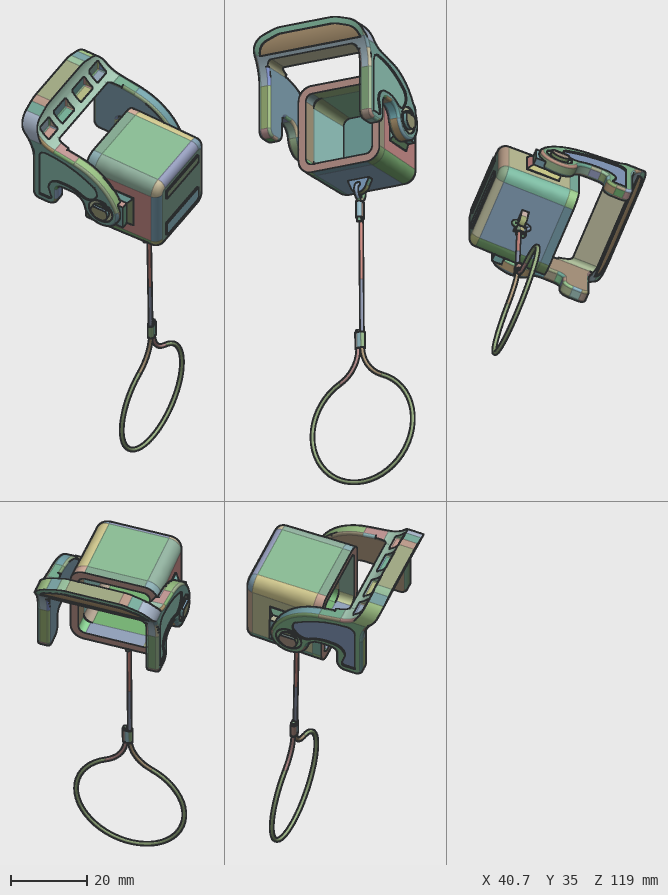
import cadquery as cq
import math


HOUSING_SIZE = 24.2
HOUSING_CENTER_Z = -0.4
HOUSING_FRONT_X = -7.4
HOUSING_BACK_X = 14.6
COLLAR_LENGTH = 2.6
HOUSING_CORNER_RADIUS = 3.8
HOUSING_DRAFT = 1.1
BACK_FILLET = 2.2
CAVITY_SIZE = 19.8
CAVITY_MOUTH_DEPTH = 4.3
CAVITY_MOUTH_CORNER_RADIUS = 1.9
CAVITY_CORNER_RADIUS = 2.4
CAVITY_DRAFT = 1.7
BACK_WALL = 2.2
WALL_OVERLAP = 1.0
PAD_WIDTH = 15.6
PAD_HEIGHT = 0.45
PAD_Z_RANGES = ((5.0, 7.6), (-8.6, -4.4))

LEVER_WIDTH = 33.5
LEG_THICKNESS = 3.4
LEVER_EDGE_FILLET = 0.7
LEVER_TOP_Z = 22.05
TIP_X = -25.6
TIP_BACK_X = -21.1
FIN_FRONT_CURVE = (-24.7, 18.5)
FIN_FRONT_TURN = (-23.35, 16.2)
FIN_ROOT_Z = 8.4
FIN_BACK_ROOT = (-14.5, 14.58)
LEVER_SHOULDER = (-8.3, 13.4)
LEVER_FRONT_X = -20.85
HOOK_BOTTOM_Z = -5.6
HOOK_FRONT_RADIUS = 2.1
HOOK_BACK_X = -13.5
HOOK_BACK_RADIUS = 2.7
NOTCH_TOP_Z = 2.2
NOTCH_RADIUS = 1.6
NOTCH_THROAT_X = -9.0
PIVOT_END_RADIUS = 5.3
PIVOT_END_ANGLE = math.radians(18)
FIN_FLAT_HALF_WIDTH = 7.4
FIN_SHOULDER_Y = 12.7
FIN_SHOULDER_SLOPE = math.radians(17)
FIN_SHOULDER_INNER_RADIUS = 8.2
FIN_BAR_BOTTOM_Z = -10.0
FIN_BAR_LENGTH = 40.0
FIN_BAR_LEAD = 1.0
BRIDGE_BACK_X = -12.0
TUNNEL_TOP_Z = 14.85
TUNNEL_CORNER_RADIUS = 1.5
SIDE_RECESS_DEPTH = 0.4
RECESS_FRONT_X = -18.9
RECESS_FRONT_TOP_Z = 10.4
RECESS_TOP_START = (-16.6, 12.7)
RECESS_NOSE_TOP = (-1.9, 7.6)
RECESS_NOSE_BOTTOM = (-2.0, 3.4)
RECESS_THROAT = (-5.6, 2.4)
RECESS_NOTCH_TOP = (-12.2, 3.9)
RECESS_NOTCH_SIDE = (-16.0, 0.4)
RECESS_HOOK_SIDE = (-15.1, -2.6)
RECESS_HOOK_X = -16.3
RECESS_BOTTOM_Z = -3.6
FIN_PANEL_DEPTH = 0.3
FIN_PANEL_MARGIN = 1.7
FIN_PANEL_BACK_X = -22.0
FIN_PANEL_BOTTOM_Z = 16.0
GRIP_POCKET_X_RANGE = (-20.1, -17.3)
GRIP_POCKET_FLOOR_Z = 15.3
GRIP_POCKET_Y_RANGES = ((1.5, 7.7), (9.8, 14.5))
GRIP_POCKET_CORNER_RADIUS = 0.4
GRIP_POCKET_FLOOR_FILLET = 0.3

PIN_RADIUS = 2.5
PIN_SPAN = 35.0
PIN_HEAD_FLAT_Z = 1.5
PIN_RING_RADIUS = 3.6
PIN_RING_DEPTH = 0.3
PIVOT_BOSS_FRONT_X = -1.75
PIVOT_BOSS_BACK_X = 7.3
PIVOT_BOSS_HEIGHT = 10.0
PIVOT_LUG_HALF_SPAN = 15.3

TETHER_LUG_X_RANGE = (3.1, 5.0)
TETHER_LUG_HALF_WIDTH = 3.15
TETHER_LUG_WAIST_HALF_WIDTH = 2.3
TETHER_LUG_WAIST_Z = -14.3
TETHER_LUG_BOTTOM_Z = -16.1
TETHER_TOP_X = 4.57
TETHER_TILT = 0.81
WIRE_DIAMETER = 1.1
STRAND_PITCH = 1.15
WIRE_JOINT_Z = -40.0
RING_RADIUS = 2.1
RING_CENTER_Z = -15.7
RING_NECK_RADIUS = 1.0
RING_STUB_Z = -24.1
LOOP_RADIUS = 15.0
LOOP_BOTTOM_Z = -96.92
LOOP_NECK_RADIUS = 9.8
LOOP_STUB_Z = -54.0
FERRULE_WALL = 0.27
FERRULE_LENGTH = 4.4
RING_FERRULE_TOP_Z = -18.6
LOOP_FERRULE_TOP_Z = -54.7

half_width = LEVER_WIDTH / 2
leg_inner_y = half_width - LEG_THICKNESS


def box_between(x_range, y_range, z_range):
    size = [high - low for low, high in (x_range, y_range, z_range)]
    corner = (x_range[0], y_range[0], z_range[0])
    return cq.Workplane("XY").box(*size, centered=False).translate(corner)


def rounded_square_bar(x, size, length, radius, draft):
    """Bar running in +X from x, centred on the housing axis and narrowing by the draft angle."""
    outline = cq.Sketch().rect(size, size).vertices().fillet(radius)
    plane = cq.Workplane("YZ", origin=(x, 0, HOUSING_CENTER_Z))
    return plane.placeSketch(outline).extrude(length, taper=draft)


def make_housing():
    """Drafted square cup with a straight collar, open towards -X."""
    body_x = HOUSING_FRONT_X + COLLAR_LENGTH
    body = rounded_square_bar(
        body_x, HOUSING_SIZE, HOUSING_BACK_X - body_x, HOUSING_CORNER_RADIUS, HOUSING_DRAFT
    )
    body = body.faces(">X").edges().fillet(BACK_FILLET)
    collar = rounded_square_bar(
        HOUSING_FRONT_X, HOUSING_SIZE, COLLAR_LENGTH, HOUSING_CORNER_RADIUS, 0
    )
    housing = body.union(collar)
    for z_range in PAD_Z_RANGES:
        x_range = (HOUSING_BACK_X - BACK_WALL, HOUSING_BACK_X + PAD_HEIGHT)
        housing = housing.union(box_between(x_range, (-PAD_WIDTH / 2, PAD_WIDTH / 2), z_range))
    mouth = rounded_square_bar(
        HOUSING_FRONT_X, CAVITY_SIZE, CAVITY_MOUTH_DEPTH, CAVITY_MOUTH_CORNER_RADIUS, 0
    )
    cavity_x = HOUSING_FRONT_X + CAVITY_MOUTH_DEPTH
    cavity_depth = HOUSING_BACK_X - BACK_WALL - cavity_x
    cavity = rounded_square_bar(
        cavity_x, CAVITY_SIZE, cavity_depth, CAVITY_CORNER_RADIUS, CAVITY_DRAFT
    )
    return housing.cut(mouth).cut(cavity)


def lever_profile():
    """Side outline of the lever: thumb fin, hook and pivot end, with tangent arcs."""
    throat_radius = (
        NOTCH_THROAT_X**2 + NOTCH_TOP_Z**2 - PIVOT_END_RADIUS**2
    ) / (2 * (PIVOT_END_RADIUS + NOTCH_TOP_Z))
    throat_center_z = NOTCH_TOP_Z - throat_radius
    throat_share = PIVOT_END_RADIUS / (PIVOT_END_RADIUS + throat_radius)
    throat_end = (NOTCH_THROAT_X * throat_share, throat_center_z * throat_share)
    pivot_end = (
        PIVOT_END_RADIUS * math.cos(PIVOT_END_ANGLE),
        PIVOT_END_RADIUS * math.sin(PIVOT_END_ANGLE),
    )
    return (
        cq.Workplane("XZ")
        .moveTo(LEVER_FRONT_X, FIN_ROOT_Z)
        .lineTo(LEVER_FRONT_X, HOOK_BOTTOM_Z + HOOK_FRONT_RADIUS)
        .tangentArcPoint((LEVER_FRONT_X + HOOK_FRONT_RADIUS, HOOK_BOTTOM_Z), relative=False)
        .lineTo(HOOK_BACK_X - HOOK_BACK_RADIUS, HOOK_BOTTOM_Z)
        .tangentArcPoint((HOOK_BACK_X, HOOK_BOTTOM_Z + HOOK_BACK_RADIUS), relative=False)
        .lineTo(HOOK_BACK_X, NOTCH_TOP_Z - NOTCH_RADIUS)
        .tangentArcPoint((HOOK_BACK_X + NOTCH_RADIUS, NOTCH_TOP_Z), relative=False)
        .lineTo(NOTCH_THROAT_X, NOTCH_TOP_Z)
        .tangentArcPoint(throat_end, relative=False)
        .threePointArc((0, -PIVOT_END_RADIUS), pivot_end)
        .tangentArcPoint(LEVER_SHOULDER, relative=False)
        .lineTo(*FIN_BACK_ROOT)
        .tangentArcPoint((TIP_BACK_X, LEVER_TOP_Z), relative=False)
        .lineTo(TIP_X, LEVER_TOP_Z)
        .threePointArc(FIN_FRONT_CURVE, FIN_FRONT_TURN)
        .tangentArcPoint((LEVER_FRONT_X, FIN_ROOT_Z), relative=False)
        .close()
    )


def fin_bar(inset):
    """Bar along X with the lever outline seen end-on: a flat top, sloped shoulders and round sides."""
    top_drop = FIN_SHOULDER_INNER_RADIUS * (1 - math.cos(FIN_SHOULDER_SLOPE))
    slope_y = FIN_FLAT_HALF_WIDTH + FIN_SHOULDER_INNER_RADIUS * math.sin(FIN_SHOULDER_SLOPE)
    slope_start = (slope_y, LEVER_TOP_Z - top_drop)
    slope_drop = (FIN_SHOULDER_Y - slope_y) * math.tan(FIN_SHOULDER_SLOPE)
    slope_end = (FIN_SHOULDER_Y, slope_start[1] - slope_drop)
    outer_radius = (half_width - FIN_SHOULDER_Y) / (1 - math.sin(FIN_SHOULDER_SLOPE))
    side_z = slope_end[1] - outer_radius * math.cos(FIN_SHOULDER_SLOPE)
    half = (
        cq.Workplane("YZ", origin=(TIP_X - FIN_BAR_LEAD, 0, 0))
        .moveTo(0, LEVER_TOP_Z)
        .lineTo(FIN_FLAT_HALF_WIDTH, LEVER_TOP_Z)
        .tangentArcPoint(slope_start, relative=False)
        .lineTo(*slope_end)
        .tangentArcPoint((half_width, side_z), relative=False)
        .lineTo(half_width, FIN_BAR_BOTTOM_Z)
        .lineTo(0, FIN_BAR_BOTTOM_Z)
    )
    outline = half.mirrorY()
    if inset:
        outline = outline.offset2D(-inset)
    return outline.extrude(FIN_BAR_LENGTH)


def side_recess():
    """Shallow kidney-shaped panel in the outer face of the -Y leg, inset from the lever's edge."""
    return (
        cq.Workplane("XZ", origin=(0, SIDE_RECESS_DEPTH - half_width, 0))
        .moveTo(RECESS_FRONT_X, RECESS_FRONT_TOP_Z)
        .threePointArc((-18.2, 12.1), RECESS_TOP_START)
        .threePointArc((-8.8, 11.2), RECESS_NOSE_TOP)
        .threePointArc((-1.1, 5.4), RECESS_NOSE_BOTTOM)
        .threePointArc((-3.7, 2.2), RECESS_THROAT)
        .threePointArc((-8.6, 3.7), RECESS_NOTCH_TOP)
        .threePointArc((-14.9, 3.0), RECESS_NOTCH_SIDE)
        .lineTo(*RECESS_HOOK_SIDE)
        .threePointArc((-15.4, -3.4), (RECESS_HOOK_X, RECESS_BOTTOM_Z))
        .lineTo(RECESS_FRONT_X, RECESS_BOTTOM_Z)
        .close()
        .extrude(LEG_THICKNESS)
    )


def both_sides(solid):
    """The solid together with its mirror image across the mid-plane Y = 0."""
    return solid.union(solid.mirror("XZ"))


def make_leg():
    """The -Y leg as a plate with rounded edges on both faces."""
    leg = lever_profile().extrude(LEG_THICKNESS).translate((0, -leg_inner_y, 0))
    return leg.faces("<Y or >Y").edges().fillet(LEVER_EDGE_FILLET)


def make_bridge(blank):
    """Cross bar that joins the legs and carries the thumb fin."""
    bridge = blank.faces("<Y or >Y").edges().fillet(LEVER_EDGE_FILLET)
    legs_top_z = TUNNEL_TOP_Z - TUNNEL_CORNER_RADIUS
    span = (-half_width, half_width)
    bridge = bridge.intersect(box_between((TIP_X, BRIDGE_BACK_X), span, (legs_top_z, LEVER_TOP_Z)))
    tunnel = box_between(
        (TIP_X, BRIDGE_BACK_X), (-leg_inner_y, leg_inner_y), (HOOK_BOTTOM_Z, TUNNEL_TOP_Z)
    )
    return bridge.cut(tunnel.edges("|X and >Z").fillet(TUNNEL_CORNER_RADIUS))


def fin_panel(blank):
    """Thin skin of the thumb fin's front face, cut away as a shallow panel."""
    panel = fin_bar(FIN_PANEL_MARGIN).cut(blank.translate((FIN_PANEL_DEPTH, 0, 0)))
    x_range = (TIP_X, FIN_PANEL_BACK_X)
    return panel.intersect(
        box_between(x_range, (-half_width, half_width), (FIN_PANEL_BOTTOM_Z, LEVER_TOP_Z))
    )


def grip_pocket(y_range):
    """Grip recess behind the thumb fin, sunk into the top of the bridge."""
    pocket = box_between(GRIP_POCKET_X_RANGE, y_range, (GRIP_POCKET_FLOOR_Z, LEVER_TOP_Z))
    pocket = pocket.edges("|Z").fillet(GRIP_POCKET_CORNER_RADIUS)
    return pocket.faces("<Z").edges().fillet(GRIP_POCKET_FLOOR_FILLET)


def pin_ring_recess():
    """Shallow round seat for the pin in the outer face of the -Y leg."""
    ring = cq.Workplane("XZ", origin=(0, PIN_RING_DEPTH - half_width, 0))
    return ring.circle(PIN_RING_RADIUS).extrude(LEG_THICKNESS)


def make_lever():
    """U-shaped lever: two legs, the bridge with its fin, and all recesses."""
    blank = lever_profile().extrude(half_width, both=True)
    lever = make_bridge(blank).union(both_sides(make_leg()))
    lever = lever.intersect(fin_bar(0))
    lever = lever.cut(both_sides(side_recess()))
    lever = lever.cut(both_sides(pin_ring_recess()))
    lever = lever.cut(fin_panel(blank))
    for y_range in GRIP_POCKET_Y_RANGES:
        lever = lever.cut(both_sides(grip_pocket(y_range)))
    return lever


def make_pivot_side():
    """Sloped boss, lug and pin on the -Y wall of the housing."""
    housing_y = HOUSING_SIZE / 2
    root_y = housing_y - WALL_OVERLAP
    slope = leg_inner_y - housing_y
    base_half = PIVOT_BOSS_HEIGHT / 2
    lug_half = base_half - slope
    end_section = [
        (-root_y, -base_half), (-housing_y, -base_half), (-leg_inner_y, -lug_half),
        (-leg_inner_y, lug_half), (-housing_y, base_half), (-root_y, base_half),
    ]
    plan_section = [
        (PIVOT_BOSS_FRONT_X, -root_y), (PIVOT_BOSS_BACK_X, -root_y), (PIVOT_BOSS_BACK_X, -housing_y),
        (PIVOT_BOSS_BACK_X - slope, -leg_inner_y), (PIVOT_BOSS_FRONT_X, -leg_inner_y),
    ]
    end_bar = cq.Workplane("YZ", origin=(PIVOT_BOSS_FRONT_X, 0, HOUSING_CENTER_Z))
    end_bar = end_bar.polyline(end_section).close().extrude(PIVOT_BOSS_BACK_X - PIVOT_BOSS_FRONT_X)
    plan_bar = cq.Workplane("XY", origin=(0, 0, HOUSING_CENTER_Z))
    plan_bar = plan_bar.polyline(plan_section).close().extrude(PIVOT_BOSS_HEIGHT, both=True)
    boss = end_bar.intersect(plan_bar)
    lug = box_between(
        (PIVOT_BOSS_FRONT_X, PIVOT_BOSS_BACK_X - slope),
        (-PIVOT_LUG_HALF_SPAN, -root_y),
        (HOUSING_CENTER_Z - lug_half, HOUSING_CENTER_Z + lug_half),
    )
    pin = cq.Workplane("XZ", origin=(0, -leg_inner_y, 0))
    pin = pin.circle(PIN_RADIUS).extrude(PIN_SPAN / 2 - leg_inner_y)
    head_flat = box_between(
        (-PIN_RADIUS, PIN_RADIUS), (-PIN_SPAN / 2, -half_width), (PIN_HEAD_FLAT_Z, PIN_RADIUS)
    )
    return boss.union(lug).union(pin.cut(head_flat))


def make_tether_lug():
    """Tapered tongue under the housing that holds the wire ring."""
    housing_bottom_z = HOUSING_CENTER_Z - HOUSING_SIZE / 2
    root_z = housing_bottom_z + WALL_OVERLAP
    return (
        cq.Workplane("YZ", origin=(TETHER_LUG_X_RANGE[0], 0, 0))
        .moveTo(-TETHER_LUG_HALF_WIDTH, root_z)
        .lineTo(TETHER_LUG_HALF_WIDTH, root_z)
        .lineTo(TETHER_LUG_HALF_WIDTH, housing_bottom_z)
        .lineTo(TETHER_LUG_WAIST_HALF_WIDTH, TETHER_LUG_WAIST_Z)
        .threePointArc((0, TETHER_LUG_BOTTOM_Z), (-TETHER_LUG_WAIST_HALF_WIDTH, TETHER_LUG_WAIST_Z))
        .lineTo(-TETHER_LUG_HALF_WIDTH, housing_bottom_z)
        .close()
        .extrude(TETHER_LUG_X_RANGE[1] - TETHER_LUG_X_RANGE[0])
    )


def looped_wire(plane, loop_center, radius, neck_radius, direction, strands):
    """Wire that leaves one strand, runs round a loop and returns along the other.

    direction is +1 for a loop above its strands and -1 for one below them.
    strands holds (sideways place, end height) for the left and the right strand.
    """
    center_h, center_v = loop_center
    reach = radius + neck_radius
    necks = []
    for side, (place, end_v) in zip((-1, 1), strands):
        neck_h = place + side * neck_radius
        rise = math.sqrt(reach**2 - (neck_h - center_h) ** 2)
        neck_v = center_v - direction * rise
        join = (
            center_h + (neck_h - center_h) * radius / reach,
            center_v - direction * rise * radius / reach,
        )
        middle_h = (place + join[0]) / 2 - neck_h
        middle_v = (neck_v + join[1]) / 2 - neck_v
        stretch = neck_radius / math.hypot(middle_h, middle_v)
        middle = (neck_h + middle_h * stretch, neck_v + middle_v * stretch)
        necks.append(((place, end_v), (place, neck_v), middle, join))
    left, right = necks
    path = (
        cq.Workplane(plane)
        .moveTo(*left[0])
        .lineTo(*left[1])
        .threePointArc(left[2], left[3])
        .threePointArc((center_h, center_v + direction * radius), right[3])
        .threePointArc(right[2], right[1])
        .lineTo(*right[0])
    )
    start_h, start_v = left[0]
    start = (start_h, 0, start_v) if plane == "XZ" else (0, start_h, start_v)
    return cq.Workplane("XY", origin=start).circle(WIRE_DIAMETER / 2).sweep(path)


def make_ferrule(top_z, center, angle):
    """Flat-sided sleeve pressed round two strands."""
    diameter = WIRE_DIAMETER + 2 * FERRULE_WALL
    return (
        cq.Workplane("XY", origin=(center[0], center[1], top_z))
        .slot2D(STRAND_PITCH + diameter, diameter, angle)
        .extrude(-FERRULE_LENGTH)
    )


def make_tether():
    """Wire with a small ring at the top and a large loop below, leaning slightly towards +X."""
    ring = looped_wire(
        "XZ", (-STRAND_PITCH / 2, RING_CENTER_Z), RING_RADIUS, RING_NECK_RADIUS, 1,
        ((-STRAND_PITCH, RING_STUB_Z), (0, WIRE_JOINT_Z)),
    )
    loop_center_z = LOOP_BOTTOM_Z + WIRE_DIAMETER / 2 + LOOP_RADIUS
    loop = looped_wire(
        "YZ", (0, loop_center_z), LOOP_RADIUS, LOOP_NECK_RADIUS, -1,
        ((0, WIRE_JOINT_Z), (STRAND_PITCH, LOOP_STUB_Z)),
    )
    tether = ring.union(loop)
    tether = tether.union(make_ferrule(RING_FERRULE_TOP_Z, (-STRAND_PITCH / 2, 0), 0))
    tether = tether.union(make_ferrule(LOOP_FERRULE_TOP_Z, (0, STRAND_PITCH / 2), 90))
    tether = tether.translate((TETHER_TOP_X, 0, 0))
    swivel = (TETHER_TOP_X, 0, RING_CENTER_Z)
    return tether.rotate(swivel, (TETHER_TOP_X, 1, RING_CENTER_Z), -TETHER_TILT)


result = (
    make_housing()
    .union(both_sides(make_pivot_side()))
    .union(make_tether_lug())
    .union(make_lever())
    .union(make_tether())
)